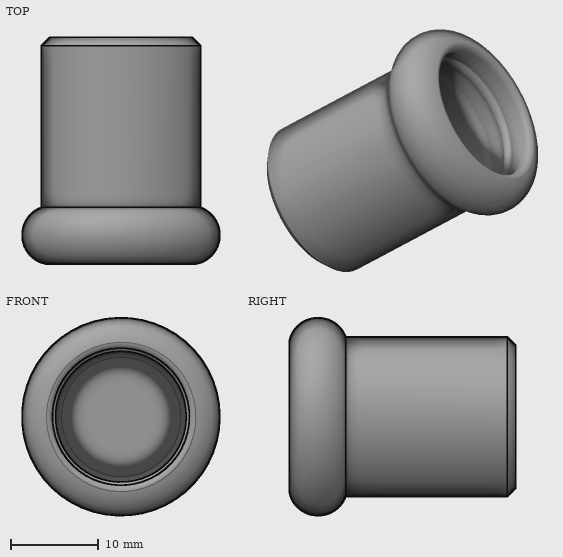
import cadquery as cq
import math

length = 26.0
body_radius = 18.3 / 2
socket_radius = 15.7 / 2
bore_radius = 15.3 / 2
wall = body_radius - socket_radius
end_chamfer = 1.0

bead_outer_radius = 22.7 / 2
bead_section_radius = 3.38
bead_centre_radius = bead_outer_radius - bead_section_radius
lip_radius = 0.7
mouth_radius = socket_radius + lip_radius


def bead_half_width(radius):
    """Half the bead width along Y at the given distance from the axis."""
    return math.sqrt(bead_section_radius**2 - (radius - bead_centre_radius) ** 2)


bead_centre_y = bead_half_width(mouth_radius)
bead_back_y = bead_centre_y + bead_half_width(body_radius)

seal_inner_radius = 7.5
seal_section_radius = 0.73
seal_centre_radius = seal_inner_radius + seal_section_radius

stop_start = 5.82
stop_length = 0.85

floor_depth = length - wall
floor_fillet = 0.8

ARC_MIDDLE_INSET = 1 - math.sqrt(0.5)


def revolve_about_axis(profile):
    """Close a (radius, Y) profile and turn it around the Y axis."""
    return profile.close().revolve(360, (0, 0, 0), (0, 1, 0))


def make_outer_body():
    profile = (
        cq.Workplane("XY")
        .lineTo(mouth_radius, 0)
        .threePointArc((bead_outer_radius, bead_centre_y), (body_radius, bead_back_y))
        .lineTo(body_radius, length - end_chamfer)
        .lineTo(body_radius - end_chamfer, length)
        .lineTo(0, length)
    )
    return revolve_about_axis(profile)


def make_cavity():
    lip_inset = lip_radius * ARC_MIDDLE_INSET
    floor_inset = floor_fillet * ARC_MIDDLE_INSET
    profile = (
        cq.Workplane("XY")
        .lineTo(mouth_radius, 0)
        .threePointArc((socket_radius + lip_inset, lip_inset), (socket_radius, lip_radius))
        .lineTo(socket_radius, stop_start)
        .lineTo(bore_radius, stop_start + stop_length)
        .lineTo(bore_radius, floor_depth - floor_fillet)
        .threePointArc(
            (bore_radius - floor_inset, floor_depth - floor_inset),
            (bore_radius - floor_fillet, floor_depth),
        )
        .lineTo(0, floor_depth)
    )
    return revolve_about_axis(profile)


def make_seal_ring():
    axis_point = (0, bead_centre_y, 0)
    axis_direction = (0, 1, 0)
    ring = cq.Solid.makeTorus(seal_centre_radius, seal_section_radius, axis_point, axis_direction)
    return cq.Workplane(ring)


result = make_outer_body().cut(make_cavity()).union(make_seal_ring())